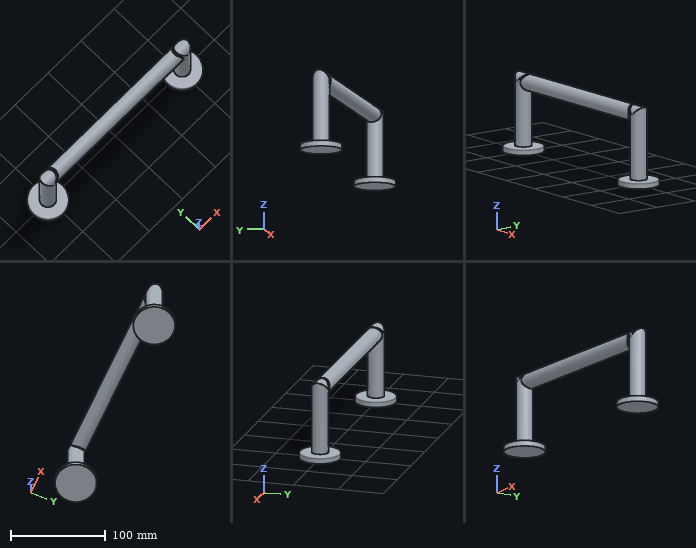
import cadquery as cq

overall_length = 247.63
overall_height = 85.6
flange_diameter = 44.45
flange_thickness = 6.35
flange_edge_radius = 0.5
tube_diameter = 18.05
joint_gap = 2.0
neck_diameter = 13.0

tube_radius = tube_diameter / 2
post_offset = (overall_length - flange_diameter) / 2
bar_axis_height = overall_height - tube_radius
post_positions = (-post_offset, post_offset)


def upright_cylinder(x, radius, height):
    """Vertical cylinder standing on the base plane at the given X."""
    return cq.Workplane("XY").center(x, 0).circle(radius).extrude(height)


def bar_cylinder(radius, half_length):
    """Horizontal cylinder along X, centred on the bar axis."""
    return (
        cq.Workplane("YZ", origin=(0, 0, bar_axis_height))
        .circle(radius)
        .extrude(half_length, both=True)
    )


def flange(x):
    """Round wall flange with a softened upper rim."""
    disc = upright_cylinder(x, flange_diameter / 2, flange_thickness)
    return disc.faces(">Z").edges().fillet(flange_edge_radius)


def post(x):
    """Post whose top is rounded over to continue the cylinder of the bar."""
    shaft = upright_cylinder(x, tube_radius, bar_axis_height)
    rounded_top = upright_cylinder(x, tube_radius, overall_height).intersect(
        bar_cylinder(tube_radius, overall_length / 2)
    )
    return shaft.union(rounded_top)


def bar():
    """Grip bar with ends hollowed to leave an even gap around each post."""
    grip = bar_cylinder(tube_radius, post_offset)
    for x in post_positions:
        grip = grip.cut(upright_cylinder(x, tube_radius + joint_gap, overall_height))
    return grip


result = bar().union(bar_cylinder(neck_diameter / 2, post_offset))
for post_x in post_positions:
    result = result.union(post(post_x)).union(flange(post_x))